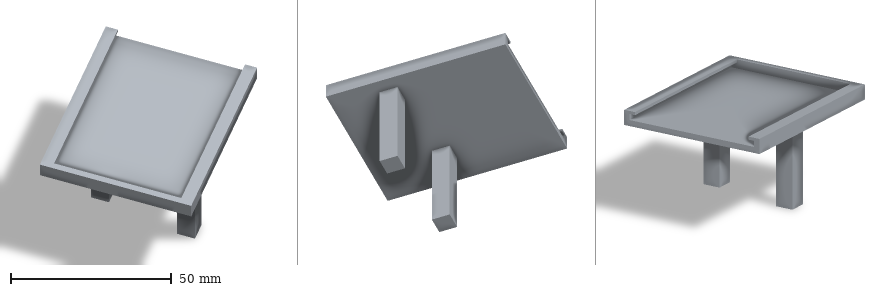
import cadquery as cq

plate_width = 50.0
plate_length = 60.4
plate_thickness = 5.0

wall = 2.0
lip_overhang = 2.0
lip_thickness = 1.0
floor_thickness = 2.0

leg_side = 6.0
leg_length = 30.0
left_leg_x = 9.2
right_leg_x = 39.4
left_leg_y = 21.2
right_leg_y = 16.2


def corner_box(x, y, z, width, length, height):
    """Box whose lowest corner is at (x, y, z)."""
    return cq.Workplane("XY").box(width, length, height, centered=False).translate((x, y, z))


def channel(side_margin, bottom, top):
    """Cutter running from the front wall out through the +Y end."""
    width = plate_width - 2 * side_margin
    return corner_box(side_margin, wall, bottom, width, plate_length - wall, top - bottom)


def tray():
    plate = corner_box(0, 0, 0, plate_width, plate_length, plate_thickness)
    slot = channel(wall, floor_thickness, plate_thickness - lip_thickness)
    opening = channel(wall + lip_overhang, floor_thickness, plate_thickness)
    return plate.cut(slot).cut(opening)


def leg(x, y):
    return corner_box(x, y, -leg_length, leg_side, leg_side, leg_length)


result = tray()
for leg_x, leg_y in ((left_leg_x, left_leg_y), (right_leg_x, right_leg_y)):
    result = result.union(leg(leg_x, leg_y))